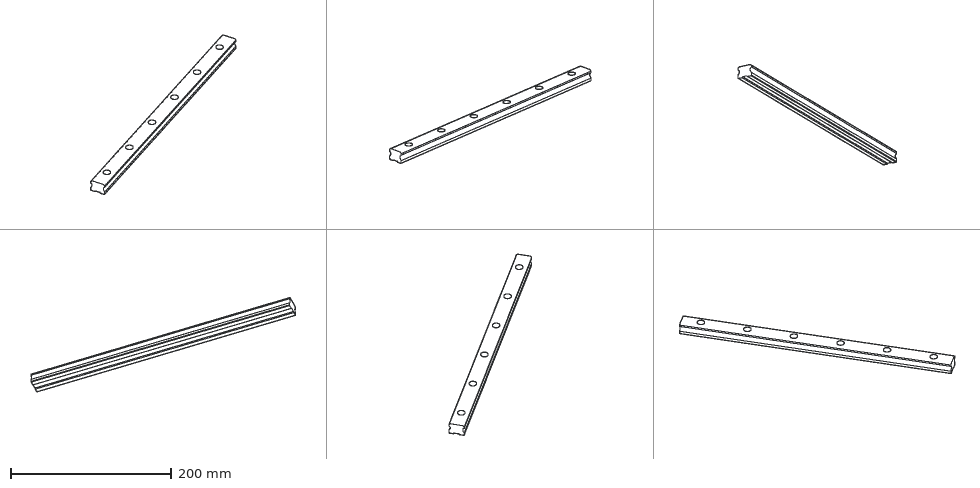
import cadquery as cq

length = 350.0
width = 20.0
height = 15.5

head_chamfer_width = 1.8
head_chamfer_height = 1.8
head_corner_radius = 1.0
head_side_bottom = 11.5
neck_width = 16.0
neck_top = 9.8
neck_bottom = 7.5
neck_corner_radius = 1.8
foot_side_top = 4.2
foot_chamfer = 0.7

groove_floor_width = 6.0
groove_mouth_width = 8.0
groove_depth = 1.0

hole_count = 6
hole_end_distance = 25.0
hole_pitch = (length - 2 * hole_end_distance) / (hole_count - 1)
hole_diameter = 9.5
cap_recess = 0.5

top_corner_x = width / 2 - head_chamfer_width


def rail_body():
    """Mirror-symmetric rail section extruded along Y, with its underside at Z = 0."""
    right_half = [
        (groove_floor_width / 2, groove_depth),
        (groove_mouth_width / 2, 0),
        (width / 2 - foot_chamfer, 0),
        (width / 2, foot_chamfer),
        (width / 2, foot_side_top),
        (neck_width / 2, neck_bottom),
        (neck_width / 2, neck_top),
        (width / 2, head_side_bottom),
        (width / 2, height - head_chamfer_height),
        (top_corner_x, height),
    ]
    left_half = [(-x, z) for x, z in reversed(right_half)]
    section = cq.Workplane("XZ").polyline(right_half + left_half).close()
    return section.extrude(length / 2, both=True)


def round_long_edges(body, edge_x, edge_z, radius):
    """Round the pair of lengthwise edges at X = +/- edge_x and height edge_z."""
    for x in (-edge_x, edge_x):
        edge = cq.selectors.NearestToPointSelector((x, 0, edge_z))
        body = body.edges("|Y").edges(edge).fillet(radius)
    return body


def cap_recesses():
    """Shallow round recesses left above the caps of the mounting holes."""
    return (
        cq.Workplane("XY")
        .workplane(offset=height - cap_recess)
        .rarray(3.5, hole_pitch, 1, hole_count)
        .circle(hole_diameter / 2)
        .extrude(cap_recess)
    )


rail = rail_body()
rail = round_long_edges(rail, neck_width / 2, neck_bottom, neck_corner_radius)
rail = round_long_edges(rail, neck_width / 2, neck_top, neck_corner_radius)
rail = round_long_edges(rail, top_corner_x, height, head_corner_radius)
rail = rail.cut(cap_recesses())

result = rail.translate((0, 0, -height / 2))